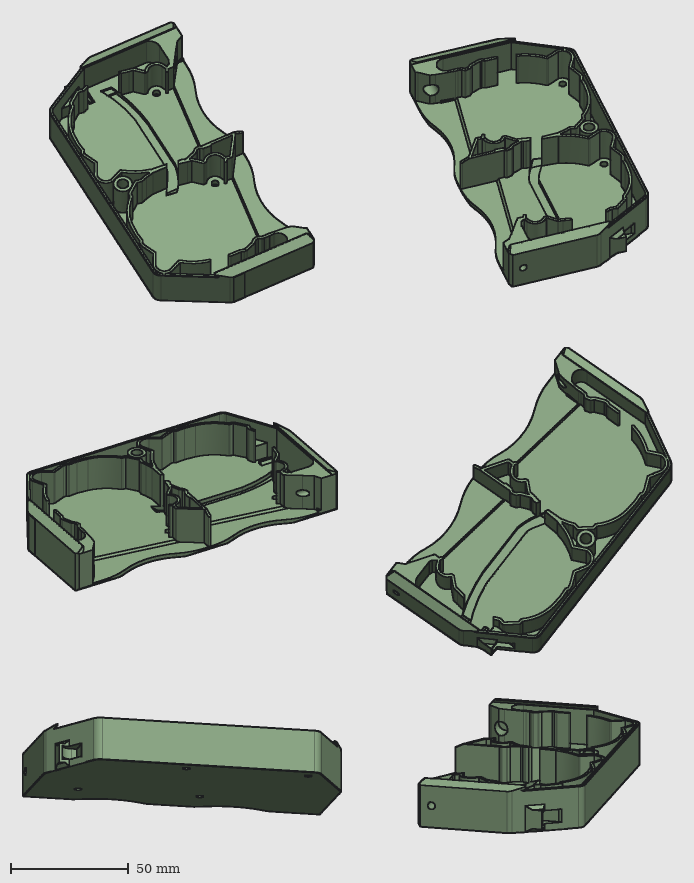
import cadquery as cq
import math

width = 129.9
depth = 68.56
wall_height = 18.6
lip_height = 2.0
pad_thickness = 0.1
pad_front, pad_rear = 29.1, 34.3

diagonal_start = 28.4
diagonal_angle = 30.0
corner_radius = 4.0
rear_corner_chamfer = 1.25
outer_edge_chamfer = 0.25
rear_bottom_chamfer = 1.2

thin_wall = 1.2
side_wall = 4.0
floor = 3.0
rear_floor = 2.0
channel_floor = 1.0

step_start = (20.5, 58.7)
step_end = (63.0, 52.4)

bay_start = 0.2
bay_pitch = 53.2
bays = (bay_start, bay_start + bay_pitch)
rear_hole = (19.85, 50.15)
front_hole = (56.7, 6.26)
hole_diameter = 3.05
wrap_radius = 4.3

boss_centre = (width / 2, 10.2)
boss_diameter = 8.0
boss_bore = 4.7

wave_centre = 38.0
wave_half_width = 25.0
wave_depth = 5.2

side_hole_y = 62.5
side_hole_z = 9.8
side_hole_diameter = 3.2
side_hole_depth = 22.0
block_hole_diameter = 6.18
block_hole_depth = 16.0
block_hole_start = 110.0

diagonal_slope = math.tan(math.radians(diagonal_angle))
diagonal_end = diagonal_start * diagonal_slope


def prism(points, bottom, top):
    """Straight-sided prism over a polygon in the XY plane."""
    return cq.Workplane("XY").workplane(offset=bottom).polyline(points).close().extrude(top - bottom)


def box(x_range, y_range, z_range):
    """Axis-aligned block between pairs of limits."""
    size = [limits[1] - limits[0] for limits in (x_range, y_range, z_range)]
    corner = (x_range[0], y_range[0], z_range[0])
    return cq.Workplane("XY").box(*size, centered=False).translate(corner)


def trace(start, *steps):
    """Open path: a 2-number step is a line end, a pair of points is an arc (middle, end)."""
    path = cq.Workplane("XY").moveTo(*start)
    for step in steps:
        if isinstance(step[0], tuple):
            path = path.threePointArc(*step)
        else:
            path = path.lineTo(*step)
    return path


def rib(start, *steps):
    """Thin full-height wall centred on a path."""
    return trace(start, *steps).wire().offset2D(thin_wall / 2).extrude(wall_height)


def straight_rib(start, end):
    """Thin full-height wall with round ends along one line."""
    run = (end[0] - start[0], end[1] - start[1])
    middle = ((start[0] + end[0]) / 2, (start[1] + end[1]) / 2)
    slot = cq.Workplane("XY").slot2D(
        math.hypot(*run) + thin_wall, thin_wall, math.degrees(math.atan2(run[1], run[0]))
    )
    return slot.extrude(wall_height).translate((middle[0], middle[1], 0))


def mirror_x(solid):
    """Mirror image about the middle of the width."""
    return solid.mirror("YZ", (width / 2, 0, 0))


def outline(height):
    """Body over its outer outline, without the rear scallops."""
    points = [
        (diagonal_end, 0),
        (width - diagonal_end, 0),
        (width, diagonal_start),
        (width, depth - rear_corner_chamfer),
        (width - rear_corner_chamfer, depth),
        (rear_corner_chamfer, depth),
        (0, depth - rear_corner_chamfer),
        (0, diagonal_start),
    ]
    body = prism(points, 0, height)
    front_edges = cq.selectors.BoxSelector((-1, -1, -1), (width + 1, diagonal_start + 1, height + 1))
    return body.edges("|Z").edges(front_edges).fillet(corner_radius)


def cavity():
    """Space inside the walls, open to the rear."""
    shift = thin_wall / math.cos(math.radians(diagonal_angle))
    turn_y = diagonal_start - (side_wall - shift) / diagonal_slope
    front_x = shift + (diagonal_start - thin_wall) * diagonal_slope
    points = [
        (front_x, thin_wall),
        (width - front_x, thin_wall),
        (width - side_wall, turn_y),
        (width - side_wall, depth + 1),
        (side_wall, depth + 1),
        (side_wall, turn_y),
    ]
    space = prism(points, floor, wall_height + lip_height)
    return space.edges("|Z and <Y").fillet(corner_radius - thin_wall)


def scallop(shift):
    """Concave wave in the rear edge: one hollow arc between two rounded shoulders."""
    radius = (wave_half_width**2 + wave_depth**2) / (4 * wave_depth)
    half_angle = math.asin(wave_half_width / 2 / radius) / 2
    arc_x = radius * math.sin(half_angle)
    arc_y = radius * (1 - math.cos(half_angle))
    left = wave_centre + shift - wave_half_width
    right = wave_centre + shift + wave_half_width
    low = depth - wave_depth
    middle = depth - wave_depth / 2
    return (
        cq.Workplane("XY")
        .moveTo(left, depth)
        .threePointArc((left + arc_x, depth - arc_y), (left + wave_half_width / 2, middle))
        .threePointArc((wave_centre + shift, low), (right - wave_half_width / 2, middle))
        .threePointArc((right - arc_x, depth - arc_y), (right, depth))
        .lineTo(right, depth + 1)
        .lineTo(left, depth + 1)
        .close()
        .extrude(wall_height)
    )


def rear_step(shift):
    """Region above the lowered rear floor, ending in a 45 degree slope."""
    run = (step_end[0] - step_start[0], step_end[1] - step_start[1], 0)
    normal = cq.Vector(-run[1], run[0], 0)
    length = math.hypot(run[0], run[1])
    drop = floor - rear_floor
    reach = 30.0
    origin = (step_start[0] + shift, step_start[1], rear_floor)
    start_plane = cq.Plane(origin=origin, xDir=normal, normal=run)
    start_overrun = 12.0
    end_overrun = 4.0
    section = [(0, 0), (reach, 0), (reach, -drop), (-drop, -drop)]
    if start_plane.yDir.z > 0:
        section = [(x, -y) for x, y in section]
    start = cq.Workplane(start_plane).workplane(offset=-start_overrun)
    return start.polyline(section).close().extrude(start_overrun + length + end_overrun)


def side_lip():
    """Sloping lip along the left wall, bevelled at its rear end."""
    overhang = 4.5
    edge = 0.6
    profile = [
        (0, wall_height - edge),
        (0, wall_height),
        (overhang, wall_height + lip_height),
        (overhang, wall_height + lip_height - edge),
        (overhang - lip_height + edge, wall_height),
        (overhang - lip_height + edge, wall_height - edge),
    ]
    lip = cq.Workplane("XZ").polyline(profile).close().extrude(-depth)
    bevel = (
        cq.Workplane("YZ")
        .polyline([(depth, wall_height), (depth, wall_height + lip_height),
                   (depth - lip_height, wall_height + lip_height)])
        .close()
        .extrude(width)
    )
    lip_front = 22.2
    lip_range = box((0, width), (lip_front, depth), (0, wall_height + lip_height))
    return lip.cut(bevel).intersect(lip_range).intersect(outline(wall_height + lip_height))


def rear_left_rib(shift):
    """Rib that wraps the rear screw hole, with a short nib toward the bay."""
    x, y = rear_hole
    main = rib(
        (20.4, 57.5), (20.3, 55.0), (18.1, 54.1),
        ((x - wrap_radius, y), (17.5, 46.6)),
        (17.6, 45.75), (14.0, 42.0), (13.7, 39.9), (12.9, 36.0),
    )
    nib = straight_rib((20.3, 55.0), (21.5, 54.3))
    return main.union(nib).translate((shift, 0, 0))


def rear_right_rib(shift):
    """Stepped rib on the right of a bay."""
    return rib(
        (64.1, 52.35), (63.9, 49.2), (62.9, 47.95), (63.4, 46.0), (64.6, 44.8),
        (66.3, 40.4), (66.3, 39.3), (65.8, 38.2), (65.7, 33.0),
    ).translate((shift, 0, 0))


def front_rib(shift):
    """Curved rib along the front of a bay that wraps the front screw hole."""
    x, y = front_hole
    diagonal = math.sqrt(0.5)
    return rib(
        (12.85, 20.2), (13.7, 18.0), (13.2, 15.7), (17.35, 10.4), (19.1, 10.3),
        ((24.8, 5.8), (32.2, 3.4)),
        (37.5, 3.0), (41.45, 3.3), (42.3, 2.6), (44.1, 2.85),
        (49.8, 5.2), (54.4, 2.6),
        ((x + wrap_radius * diagonal, y - wrap_radius * diagonal), (61.0, 7.0)),
        (58.5, 12.6),
        ((62.0, 18.0), (64.1, 24.0)),
    ).translate((shift, 0, 0))


def centre_ribs():
    """Walls between the two bays: a rear triangle and a stem toward the front."""
    front_stem = straight_rib((64.2, 23.0), (65.0, 32.0))
    right_stem = rib((66.05, 20.2), (65.1, 24.0), (65.1, 32.0))
    wall_x = 63.55
    rear_end = (wall_x, depth - thin_wall / 2)
    joint = (73.6, 57.6)
    wall = straight_rib(rear_end, (wall_x, 49.2))
    diagonal = straight_rib((wall_x, 64.3), joint)
    triangle_floor = prism([(wall_x, 48), (wall_x, 64.3), joint, (joint[0], 49)], 0, floor)
    ribs = front_stem.union(right_stem).union(wall).union(diagonal).union(triangle_floor)
    slope_start = 64.8
    slope_drop = 1.9
    slope = (
        cq.Workplane("YZ")
        .polyline([(slope_start, wall_height), (depth, wall_height), (depth, wall_height - slope_drop)])
        .close().extrude(width)
    )
    return ribs.cut(slope).translate((bay_start, 0, 0))


def left_block():
    """Corner block with the side hole; its front face is the rounded end of a pocket."""
    points = [
        (side_wall, depth - rear_corner_chamfer), (rear_corner_chamfer, depth), (8.6, depth),
        (10.2, 65.3), (14.3, 62.4), (20.8, 58.0), (20.8, 55.5), (19.7, 55.2),
        (18.5, 57.0), (17.0, 57.6), (8.5, 57.6),
    ]
    return (
        cq.Workplane("XY").polyline(points)
        .threePointArc((5.7, 56.4), (side_wall, 53.6))
        .close().extrude(wall_height)
    )


def right_block():
    """Corner block around a round-ended pocket beside the right wall."""
    pocket_left = 118.0
    pocket_right = width - side_wall
    pocket_middle = (pocket_left + pocket_right) / 2
    pocket_y = 54.7
    pocket_radius = (pocket_right - pocket_left) / 2
    pocket_front = 48.0
    pocket_floor = box(
        (pocket_left - thin_wall, pocket_right), (pocket_front, pocket_y + pocket_radius), (0, floor)
    )
    block = (
        cq.Workplane("XY")
        .polyline([(pocket_left, 50.0), (116.9, 50.0), (116.75, 52.35), (117.5, 60.9), (118.0, 63.4),
                   (121.3, 67.6), (121.8, depth), (width - rear_corner_chamfer, depth),
                   (pocket_right, depth - rear_corner_chamfer), (pocket_right, pocket_y)])
        .threePointArc((pocket_middle, pocket_y + pocket_radius), (pocket_left, pocket_y))
        .close().extrude(wall_height)
    )
    return block.union(pocket_floor)


latch_tip_x = 3.5
latch_front_y = 14.9
latch_bottom = 0.2
latch_top = 11.8
latch_flare = 1.65
recess_left, recess_right = 4.6, 11.4
recess_front, recess_rear = 7.9, 18.8
recess_bottom, recess_top = 3.2, 9.0


def latch_hook():
    """Triangular hook on the left diagonal wall, flared where it meets the wall."""
    tip_rear_y = diagonal_start - latch_tip_x / diagonal_slope
    front_x = (diagonal_start - latch_front_y) * diagonal_slope
    inset = 1.0
    plan = prism(
        [(latch_tip_x, tip_rear_y), (latch_tip_x, latch_front_y), (front_x, latch_front_y),
         (front_x + inset, latch_front_y), (latch_tip_x + inset, tip_rear_y)],
        latch_bottom, latch_top,
    )
    angle = math.radians(diagonal_angle)
    outward = cq.Vector(-math.cos(angle), -math.sin(angle), 0)
    along = cq.Vector(math.sin(angle), -math.cos(angle), 0)
    reach = 6.0
    section_plane = cq.Plane(origin=(0, diagonal_start, 0), xDir=outward, normal=along)
    side = section_plane.yDir.z
    section = [
        (-inset, latch_bottom), (0, latch_bottom), (latch_flare, latch_bottom + latch_flare),
        (reach, latch_bottom + latch_flare), (reach, latch_top - latch_flare),
        (latch_flare, latch_top - latch_flare), (0, latch_top), (-inset, latch_top),
    ]
    profile = cq.Workplane(section_plane).polyline([(x, side * z) for x, z in section]).close()
    return plan.intersect(profile.extrude(diagonal_start))


def latch_housing():
    """Box behind the left diagonal wall that closes the latch recess."""
    right = recess_right + 1.6
    rear = recess_rear + thin_wall
    housing = box((0, right), (0, rear), (0, recess_top + thin_wall))
    return housing.intersect(outline(wall_height))


def latch_recess():
    """Recess through the diagonal wall with a rounded rear left side and a narrow ledge along its rear."""
    rounding = 5.0
    arc_centre = (recess_left + rounding, recess_rear - rounding)
    arc_offset = rounding * math.sqrt(0.5)
    undercut = 0.6
    undercut_depth = 1.8
    plan = (
        cq.Workplane("XY")
        .polyline([(recess_left, arc_centre[1]), (recess_left, recess_front), (recess_right, recess_front),
                   (recess_right + undercut, recess_front + undercut_depth),
                   (recess_right + undercut, recess_rear), (arc_centre[0], recess_rear)])
        .threePointArc((arc_centre[0] - arc_offset, arc_centre[1] + arc_offset),
                       (recess_left, arc_centre[1]))
        .close().extrude(recess_top - recess_bottom).translate((0, 0, recess_bottom))
    )
    ledge_depth = 0.4
    ledge_height = 1.1
    ledge = plan.cut(plan.translate((0, -ledge_depth, 0))).intersect(
        box((0, width), (recess_front + undercut_depth, depth), (0, recess_bottom + ledge_height))
    )
    return plan.cut(ledge)


def side_rib():
    """Low rib from the left wall into the bay, sloping down at its rear."""
    front_y, ridge_y, rear_y = 22.3, 23.5, 24.7
    right = 11.9
    ridge = floor + rear_y - ridge_y
    return (
        cq.Workplane("YZ")
        .polyline([(front_y, 0), (front_y, ridge), (ridge_y, ridge), (rear_y, floor), (rear_y, 0)])
        .close().extrude(right).intersect(outline(wall_height))
    )


def cable_channel():
    """Curved channel across the left bay; it also parts the ribs above it."""
    plan = (
        cq.Workplane("XY")
        .moveTo(8.4, 34.6)
        .threePointArc((20.4, 38.3), (31.7, 39.9))
        .lineTo(56.5, 39.9)
        .threePointArc((61.6, 38.4), (69.8, 33.6))
        .lineTo(69.0, 28.9)
        .lineTo(61.5, 33.5)
        .threePointArc((59.4, 34.7), (57.0, 35.6))
        .lineTo(28.0, 35.6)
        .threePointArc((20.4, 34.3), (8.0, 29.7))
        .close()
    )
    channel = plan.extrude(wall_height).translate((0, 0, channel_floor))
    ramp_end = 69.8
    ramp_start = 67.0
    ramp = (
        cq.Workplane("XZ")
        .polyline([(ramp_start, channel_floor), (ramp_end, channel_floor), (ramp_end, floor)])
        .close().extrude(-depth)
    )
    shelf_right = 11.0
    shelf = box((0, shelf_right), (0, depth), (0, (floor + channel_floor) / 2))
    return channel.cut(ramp).cut(shelf)


def side_pad():
    """Thin pad on the outside of the right wall."""
    return box(
        (width - side_wall / 2, width + pad_thickness),
        (pad_front, pad_rear),
        (outer_edge_chamfer, wall_height - outer_edge_chamfer),
    )


def boss():
    """Round post between the bays, with its bore down to the floor."""
    post = cq.Workplane("XY").center(*boss_centre).circle(boss_diameter / 2).extrude(wall_height)
    return post.faces(">Z").workplane().hole(boss_bore, wall_height - floor)


def screw_hole(x, y):
    """Screw hole through the floor."""
    return cq.Workplane("XY").center(x, y).circle(hole_diameter / 2).extrude(floor)


def side_holes():
    """Hole through the left wall and block, and a wider one into the right block."""
    left = cq.Workplane("YZ").center(side_hole_y, side_hole_z)
    right = left.workplane(offset=block_hole_start)
    left_hole = left.circle(side_hole_diameter / 2).extrude(side_hole_depth)
    return left_hole.union(right.circle(block_hole_diameter / 2).extrude(block_hole_depth))


def rear_bevel():
    """Wedge along the lower rear edge."""
    return (
        cq.Workplane("YZ")
        .polyline([(depth, 0), (depth, rear_bottom_chamfer), (depth - rear_bottom_chamfer, 0)])
        .close().extrude(width)
    )


body = outline(wall_height).faces("<Z or >Z").edges().chamfer(outer_edge_chamfer).cut(cavity())
for bay in bays:
    body = body.cut(rear_step(bay))
    body = body.union(rear_left_rib(bay)).union(rear_right_rib(bay)).union(front_rib(bay))
body = body.union(centre_ribs()).union(left_block()).union(right_block())
body = body.union(latch_housing()).union(side_rib()).union(latch_hook())
body = body.union(side_lip()).union(mirror_x(side_lip())).union(side_pad())
body = body.cut(latch_recess()).cut(cable_channel())
boss_space = cq.Workplane("XY").workplane(offset=floor).center(*boss_centre).circle(boss_diameter / 2)
body = body.cut(boss_space.extrude(wall_height)).union(boss())
for bay in bays:
    body = body.cut(scallop(bay))
    for x, y in (rear_hole, front_hole):
        body = body.cut(screw_hole(x + bay, y))
result = body.cut(side_holes()).cut(rear_bevel())